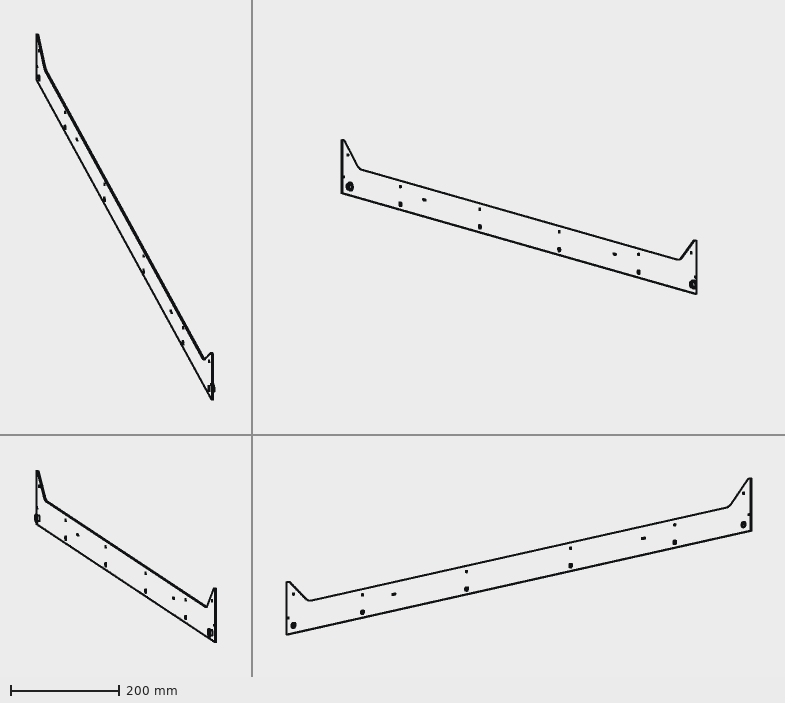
import cadquery as cq

length = 1114.0
full_height = 100.0
beam_height = 55.0
plate_thickness = 3.0
tip_width = 6.0
wing_width = 51.0
wing_root_radius = 20.0

total_depth = 8.8

column_count = 4
column_span = 750.0
upper_hole_diameter = 3.0
upper_hole_height = 43.0
lower_hole_diameter = 7.2
lower_hole_height = 10.0

slot_length = 8.0
slot_width = 2.0
slot_height = 31.0
inner_slot_offset = 300.0
end_notch_depth = 5.0

wing_hole_inset = 17.0
wing_hole_diameter = 3.0
wing_hole_height = 75.0

bushing_height = 15.0
bushing_bore = 9.0
bushing_shank_diameter = 10.6
bushing_flange_diameter = 16.0
bushing_flange_thickness = 1.0

half_length = length / 2
wing_hole_offset = half_length - wing_hole_inset
wing_hole_xs = [-wing_hole_offset, wing_hole_offset]
column_pitch = column_span / (column_count - 1)
column_xs = [index * column_pitch - column_span / 2 for index in range(column_count)]

front_plane = cq.Workplane("XZ")


def make_blank():
    """Beam and wings in one outline, with the wing roots rounded."""
    tip_x = half_length - tip_width
    root_x = half_length - wing_width
    outline = [
        (-half_length, 0),
        (half_length, 0),
        (half_length, full_height),
        (tip_x, full_height),
        (root_x, beam_height),
        (-root_x, beam_height),
        (-tip_x, full_height),
        (-half_length, full_height),
    ]
    blank = front_plane.polyline(outline).close().extrude(-plate_thickness)
    for x in (-root_x, root_x):
        root_edge = cq.selectors.NearestToPointSelector((x, plate_thickness / 2, beam_height))
        blank = blank.edges(root_edge).fillet(wing_root_radius)
    return blank


def hole_row(xs, height, diameter):
    """Cutters for a row of round through holes at one height."""
    points = [(x, height) for x in xs]
    return front_plane.pushPoints(points).circle(diameter / 2).extrude(-plate_thickness)


def slot_pair(offset, cutter_length):
    """Cutters for two horizontal through slots, mirrored about the middle of the beam."""
    points = [(-offset, slot_height), (offset, slot_height)]
    return front_plane.pushPoints(points).slot2D(cutter_length, slot_width).extrude(-plate_thickness)


def make_plate():
    """Blank with all its holes, slots and the seats of the bushings."""
    return (
        make_blank()
        .cut(hole_row(column_xs, upper_hole_height, upper_hole_diameter))
        .cut(hole_row(column_xs, lower_hole_height, lower_hole_diameter))
        .cut(hole_row(wing_hole_xs, wing_hole_height, wing_hole_diameter))
        .cut(hole_row(wing_hole_xs, bushing_height, bushing_shank_diameter))
        .cut(slot_pair(inner_slot_offset, slot_length))
        .cut(slot_pair(half_length, 2 * end_notch_depth))
    )


def make_bushing(x):
    """Bored bushing: the shank fills its plate hole flush with the front, the flange is at the back."""
    axis_plane = front_plane.center(x, bushing_height)
    shank = axis_plane.circle(bushing_shank_diameter / 2).extrude(-total_depth)
    flange = (
        axis_plane.workplane(offset=-total_depth)
        .circle(bushing_flange_diameter / 2)
        .extrude(bushing_flange_thickness)
    )
    bore = axis_plane.circle(bushing_bore / 2).extrude(-total_depth)
    return shank.union(flange).cut(bore)


plate = make_plate()
bushings = [make_bushing(x) for x in wing_hole_xs]

result = cq.Compound.makeCompound([plate.val(), *[bushing.val() for bushing in bushings]])